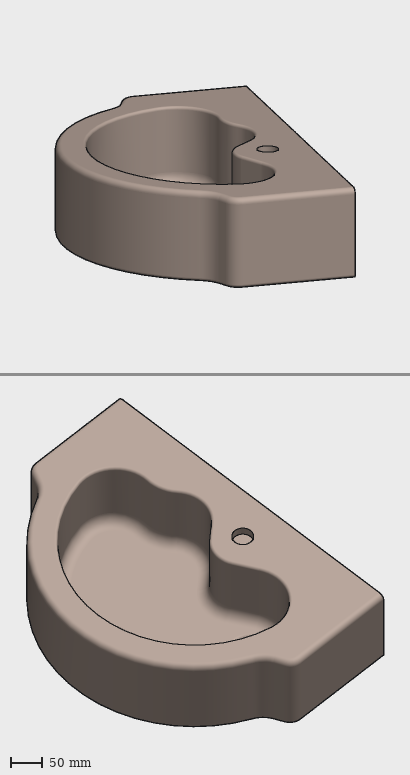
import math

import cadquery as cq

WIDTH = 600.0
DEPTH = 400.0
HEIGHT = 150.0
FRONT_RADIUS = 270.0
BOW_CENTER = (0.0, FRONT_RADIUS - DEPTH)

SHOULDER_Y = -206.0
SHOULDER_ANGLE = math.radians(25.0)
CORNER_RADIUS = 25.0
SHOULDER_RADIUS = 50.0
TOP_EDGE_RADIUS = 10.0
BOTTOM_EDGE_RADIUS = 5.0

FRONT_BORDER = 50.0
FLOOR_Z = 20.0
RIM_RADIUS = 5.0
FLOOR_RADIUS = 20.0
BASIN_RADIUS = FRONT_RADIUS - FRONT_BORDER
LOBE_X = 150.0
LOBE_Y = -160.0
LOBE_RADIUS = BASIN_RADIUS - math.hypot(LOBE_X, LOBE_Y - BOW_CENTER[1])
RIGHT_LOBE = ((LOBE_X, LOBE_Y), LOBE_RADIUS)
LEFT_LOBE = ((-LOBE_X, LOBE_Y), LOBE_RADIUS)
BACK_LOBE = ((-53.0, -123.0), 60.0)
TAP_BULGE = ((54.0, -79.0), 50.0)
NECK_RADIUS = 72.0

TAP_POSITION = (50.0, -70.0)
TAP_DIAMETER = 35.0
TAP_DEPTH = 15.0

DRAIN_POSITION = (150.0, -155.0)
DRAIN_RADIUS = 23.5
DRAIN_CHAMFER = 10.0
DRAIN_LIP_RADIUS = 6.0


def point_on(circle, angle):
    """Point of a circle at an angle from +X."""
    (x, y), radius = circle
    return (x + radius * math.cos(angle), y + radius * math.sin(angle))


def direction(start, end):
    """Angle from +X of the line from start to end."""
    return math.atan2(end[1] - start[1], end[0] - start[0])


def mid_arc(circle, start, end):
    """Middle point of the circle's shorter arc between two of its points."""
    center = circle[0]
    chord_middle = ((start[0] + end[0]) / 2, (start[1] + end[1]) / 2)
    return point_on(circle, direction(center, chord_middle))


def crossing_tangent(first, second, side):
    """Touch points of the line that is tangent to two circles and passes between them."""
    distance = math.dist(first[0], second[0])
    swing = side * math.acos((first[1] + second[1]) / distance)
    angle = direction(first[0], second[0]) + swing
    return point_on(first, angle), point_on(second, angle + math.pi)


def circle_touching(first, second, radius):
    """Circle outside two others, touching both, to the left of the line from first to second."""
    to_first = first[1] + radius
    to_second = second[1] + radius
    base = math.dist(first[0], second[0])
    cosine = (to_first**2 + base**2 - to_second**2) / (2 * to_first * base)
    angle = direction(first[0], second[0]) + math.acos(cosine)
    return point_on((first[0], to_first), angle), radius


def shoulder_end():
    """Point where the sloping line of the right shoulder meets the bowed front."""
    step_x = -math.cos(SHOULDER_ANGLE)
    step_y = -math.sin(SHOULDER_ANGLE)
    from_center_x = WIDTH / 2 - BOW_CENTER[0]
    from_center_y = SHOULDER_Y - BOW_CENTER[1]
    to_middle = -(from_center_x * step_x + from_center_y * step_y)
    offset = from_center_x * step_y - from_center_y * step_x
    length = to_middle - math.sqrt(FRONT_RADIUS**2 - offset**2)
    return WIDTH / 2 + length * step_x, SHOULDER_Y + length * step_y


def make_body():
    half_width = WIDTH / 2
    shoulder_x, shoulder_y = shoulder_end()
    body = (
        cq.Workplane("XY")
        .moveTo(-half_width, 0)
        .lineTo(-half_width, SHOULDER_Y)
        .lineTo(-shoulder_x, shoulder_y)
        .threePointArc((0, -DEPTH), (shoulder_x, shoulder_y))
        .lineTo(half_width, SHOULDER_Y)
        .lineTo(half_width, 0)
        .close()
        .extrude(HEIGHT)
    )
    for x, y, radius in (
        (half_width, SHOULDER_Y, CORNER_RADIUS),
        (shoulder_x, shoulder_y, SHOULDER_RADIUS),
    ):
        for sign in (-1, 1):
            corner = cq.selectors.NearestToPointSelector((sign * x, y, HEIGHT / 2))
            body = body.edges("|Z").edges(corner).fillet(radius)
    body = body.faces(">Z").edges("not(>Y)").fillet(TOP_EDGE_RADIUS)
    return body.faces("<Z").edges("not(>Y)").fillet(BOTTOM_EDGE_RADIUS)


def make_basin():
    """Solid that fills the basin, with its lower edge rounded."""
    front = (BOW_CENTER, BASIN_RADIUS)
    front_right = point_on(front, direction(BOW_CENTER, RIGHT_LOBE[0]))
    front_left = point_on(front, direction(BOW_CENTER, LEFT_LOBE[0]))
    right_end, bulge_right = crossing_tangent(RIGHT_LOBE, TAP_BULGE, -1)
    bulge_left, back_right = crossing_tangent(TAP_BULGE, BACK_LOBE, 1)
    neck = circle_touching(LEFT_LOBE, BACK_LOBE, NECK_RADIUS)
    neck_right = point_on(neck, direction(neck[0], BACK_LOBE[0]))
    neck_left = point_on(neck, direction(neck[0], LEFT_LOBE[0]))
    basin = (
        cq.Workplane("XY", origin=(0, 0, FLOOR_Z))
        .moveTo(*front_right)
        .threePointArc(mid_arc(RIGHT_LOBE, front_right, right_end), right_end)
        .lineTo(*bulge_right)
        .threePointArc(mid_arc(TAP_BULGE, bulge_right, bulge_left), bulge_left)
        .lineTo(*back_right)
        .threePointArc(mid_arc(BACK_LOBE, back_right, neck_right), neck_right)
        .threePointArc(mid_arc(neck, neck_right, neck_left), neck_left)
        .threePointArc(mid_arc(LEFT_LOBE, neck_left, front_left), front_left)
        .threePointArc((0, BOW_CENTER[1] - BASIN_RADIUS), front_right)
        .close()
        .extrude(HEIGHT - FLOOR_Z)
    )
    return basin.faces("<Z").edges().fillet(FLOOR_RADIUS)


def cut_basin(body):
    """Cut the basin and round its rim, the only opening in the top face so far."""
    body = body.cut(make_basin())
    rim = body.faces(">Z").val().innerWires()[0]
    return body.newObject(rim.Edges()).fillet(RIM_RADIUS)


def cut_tap_hole(body):
    hole = (
        cq.Workplane("XY", origin=(*TAP_POSITION, HEIGHT))
        .circle(TAP_DIAMETER / 2)
        .extrude(-TAP_DEPTH)
    )
    return body.cut(hole)


def cut_drain(body):
    """Through hole with a 45 degree countersink and a rounded lip."""
    mouth_radius = DRAIN_RADIUS + DRAIN_CHAMFER
    slope = math.pi / 4
    lip_reach = DRAIN_LIP_RADIUS * math.tan(slope / 2)
    lip_edge = mouth_radius + lip_reach
    lip = ((lip_edge, FLOOR_Z - DRAIN_LIP_RADIUS), DRAIN_LIP_RADIUS)
    lip_top = (lip_edge, FLOOR_Z)
    lip_bottom = point_on(lip, math.pi / 2 + slope)
    drain = (
        cq.Workplane("XZ")
        .moveTo(0, 0)
        .lineTo(DRAIN_RADIUS, 0)
        .lineTo(DRAIN_RADIUS, FLOOR_Z - DRAIN_CHAMFER)
        .lineTo(*lip_bottom)
        .threePointArc(mid_arc(lip, lip_bottom, lip_top), lip_top)
        .lineTo(0, FLOOR_Z)
        .close()
        .revolve(360, (0, 0), (0, 1))
        .translate((*DRAIN_POSITION, 0))
    )
    return body.cut(drain)


result = cut_drain(cut_tap_hole(cut_basin(make_body())))